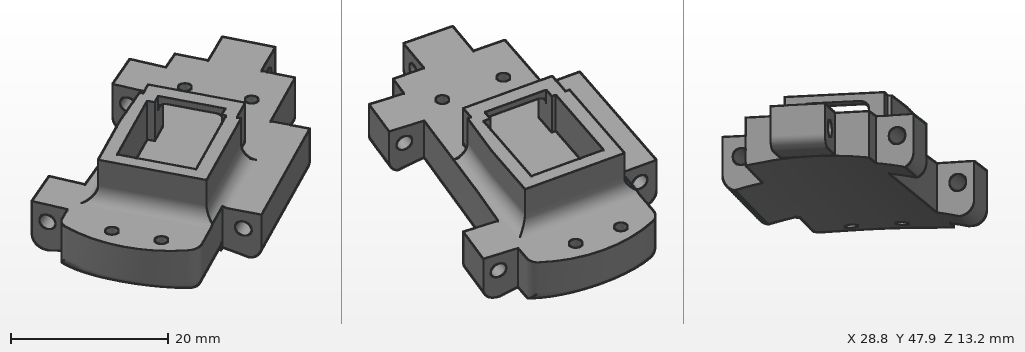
import cadquery as cq
import math

plate_height = 7.1
total_height = 13.15
length = 47.95
bottom_round = 2.0
saddle_radius = 49.9
saddle_center_x = 14.85
saddle_rise = 1.6

left_side_x = 5.32
left_side_y = 11.5
left_tilt = 3.8
rear_tilt = 1.0
rear_left_y = 42.5
nose_left = 4.9
body_right = 23.55
front_tab_y = 5.65
rear_tab_y = 33.4
tab_width = 5.95
tab_reach = 4.95
tab_root = 2.9
rear_tab_left = 11.85
rear_tab_width = 7.15
rear_tab_reach = 5.55
rear_tab_round = 1.5
block_right = 28.8
block_front = 12.15
block_rear = 32.1

nose_radius = 19.2
nose_left_round = 1.65
nose_right_round = 2.0

screw_diameter = 1.75
pin_diameter = 2.2
pin_z = 4.4
tab_pin_edge_distance = 2.15
block_pin_edge_distance = 2.45
rear_pin_edge_distance = 2.75
nose_hole_xs = (11.75, 18.35)
nose_hole_y = 2.9
blind_hole_xs = (10.85, 19.75)
blind_hole_y = 35.9
blind_hole_depth = 3.85
drill_tip_angle = 118.0

frame_left = 7.85
frame_right = 22.4
frame_front = 9.1
frame_bend_y = 17.8
frame_left_end = 24.85
frame_right_end = 23.4
frame_rear = 26.85
frame_rear_left = 8.85
frame_rear_right = 21.85
flare_radius = 2.0
pocket_left = 9.85
pocket_right = 20.4
pocket_front = 11.0
window_left = 10.85
window_right = 19.8
lintel_height = 1.0
window_round = 1.2

margin = 9.6
nose_extension = 2.4


def box(x0, x1, y0, y1, z0, z1):
    """Axis-aligned block between two corners."""
    return cq.Workplane("XY").box(x1 - x0, y1 - y0, z1 - z0, centered=False).translate((x0, y0, z0))


def prism(points, z0, z1):
    """Polygon extruded upwards from z0 to z1."""
    return cq.Workplane("XY").workplane(offset=z0).polyline(points).close().extrude(z1 - z0)


def left_x(y):
    """X of the tilted left side at a given Y."""
    return left_side_x + (y - left_side_y) * math.tan(math.radians(left_tilt))


def rear_y(x):
    """Y of the tilted rear side at a given X."""
    return rear_left_y - (x - left_x(rear_left_y)) * math.tan(math.radians(rear_tilt))


def nose_prism(left, left_round=0):
    """Front part of the plate, bounded by the nose arc."""
    nose_center_x = (nose_left + body_right) / 2
    disc = cq.Workplane("XY").center(nose_center_x, nose_radius).circle(nose_radius).extrude(plate_height)
    nose = disc.intersect(box(left, body_right, 0, left_side_y, 0, plate_height))
    nose = nose.edges("|Z").edges(">X").edges("<Y").fillet(nose_right_round)
    if left_round:
        nose = nose.edges("|Z").edges("<X").edges("<Y").fillet(left_round)
    return nose


def make_nose():
    """Nose whose arc and right corner have a rounded bottom edge."""
    wide = nose_prism(nose_left - nose_extension)
    front_bottom = wide.faces("<Z").edges("%CIRCLE")
    wide = front_bottom.fillet(bottom_round)
    return wide.intersect(nose_prism(nose_left, nose_left_round))


def make_left_tab(front_y):
    """Tilted tab with a pin hole; front_y is where its front edge leaves the plate."""
    tab = box(-tab_reach, tab_root, 0, tab_width, 0, plate_height)
    tab = tab.edges("|Y and <X and <Z").fillet(bottom_round)
    hole = cq.Workplane("XZ").center(tab_pin_edge_distance - tab_reach, pin_z).circle(pin_diameter / 2)
    tab = tab.cut(hole.extrude(-tab_width))
    tab = tab.rotate((0, 0, 0), (0, 0, 1), -left_tilt)
    return tab.translate((left_x(front_y), front_y, 0))


def make_rear_tab():
    """Tab on the rear side, rounded below, with a pin hole across it."""
    tab = box(0, rear_tab_width, -tab_root, rear_tab_reach, saddle_rise, plate_height)
    tab = tab.edges("|X and >Y and <Z").fillet(rear_tab_round)
    hole = cq.Workplane("YZ").center(rear_tab_reach - rear_pin_edge_distance, pin_z).circle(pin_diameter / 2)
    tab = tab.cut(hole.extrude(rear_tab_width))
    tab = tab.rotate((0, 0, 0), (0, 0, 1), -rear_tilt)
    return tab.translate((rear_tab_left, length - rear_tab_reach, 0))


def make_right_block():
    """Block on the right side with a pin hole along its whole length."""
    block = box(body_right - tab_root, block_right, block_front, block_rear, 0, plate_height)
    block = block.edges("|Y and >X and <Z").fillet(bottom_round)
    hole = cq.Workplane("XZ", origin=(0, block_front, 0))
    hole = hole.center(block_right - block_pin_edge_distance, pin_z).circle(pin_diameter / 2)
    return block.cut(hole.extrude(block_front - block_rear))


def make_plate():
    main = prism(
        [
            (left_side_x, left_side_y),
            (body_right, left_side_y),
            (body_right, rear_y(body_right)),
            (left_x(rear_left_y), rear_left_y),
        ],
        0,
        plate_height,
    )
    plate = main.union(make_nose()).union(make_right_block()).union(make_rear_tab())
    for front_y in (front_tab_y, rear_tab_y):
        plate = plate.union(make_left_tab(front_y))
    saddle = cq.Workplane("XZ").center(saddle_center_x, saddle_rise - saddle_radius)
    return plate.cut(saddle.circle(saddle_radius).extrude(-length))


def make_frame():
    """Raised frame flared into the plate on its left, front and right."""
    tail_y = frame_rear + margin
    tail_x = frame_left + (tail_y - frame_bend_y) * math.tan(math.radians(left_tilt))
    wall = prism(
        [
            (frame_left, frame_front),
            (frame_right, frame_front),
            (frame_right, tail_y),
            (tail_x, tail_y),
            (frame_left, frame_bend_y),
        ],
        plate_height,
        total_height,
    )
    base = box(-margin, block_right + margin, 0, tail_y, 0, plate_height)
    near = 0.5
    around_foot = cq.selectors.BoxSelector(
        (frame_left - near, frame_front - near, plate_height - near),
        (frame_right + near, tail_y - near, plate_height + near),
    )
    frame = base.union(wall).edges(around_foot).fillet(flare_radius)
    extent = prism(
        [
            (0, 0),
            (block_right, 0),
            (block_right, frame_right_end),
            (frame_rear_right, frame_right_end),
            (frame_rear_right, frame_rear),
            (frame_rear_left, frame_rear),
            (frame_rear_left, frame_left_end),
            (0, frame_left_end),
        ],
        plate_height,
        total_height,
    )
    return frame.intersect(extent)


def make_pocket():
    """Pocket down to the plate, open to the rear through a window."""
    pocket = box(pocket_left, pocket_right, pocket_front, frame_right_end, plate_height, total_height)
    step = box(window_left, window_right, frame_right_end, frame_left_end, plate_height, total_height)
    window_top = total_height - lintel_height
    window = box(window_left, window_right, frame_left_end, frame_rear, plate_height, window_top)
    window = window.edges("|Y and >Z").fillet(window_round)
    return pocket.union(step).union(window)


def make_blind_hole(x):
    """Drilled hole with a conical end."""
    radius = screw_diameter / 2
    tip = radius / math.tan(math.radians(drill_tip_angle / 2))
    profile = [(0, 0), (radius, 0), (radius, -blind_hole_depth), (0, -blind_hole_depth - tip)]
    hole = cq.Workplane("XZ").polyline(profile).close().revolve(360, (0, 0, 0), (0, 1, 0))
    return hole.translate((x, blind_hole_y, plate_height))


plate = make_plate()
plate_outline = plate.faces(">Z").wires().toPending().workplane()
footprint = plate_outline.extrude(total_height - plate_height, combine=False)
frame = make_frame().intersect(footprint).cut(make_pocket())
result = plate.union(frame)
for x in nose_hole_xs:
    nose_hole = cq.Workplane("XY").center(x, nose_hole_y).circle(screw_diameter / 2)
    result = result.cut(nose_hole.extrude(plate_height))
for x in blind_hole_xs:
    result = result.cut(make_blind_hole(x))